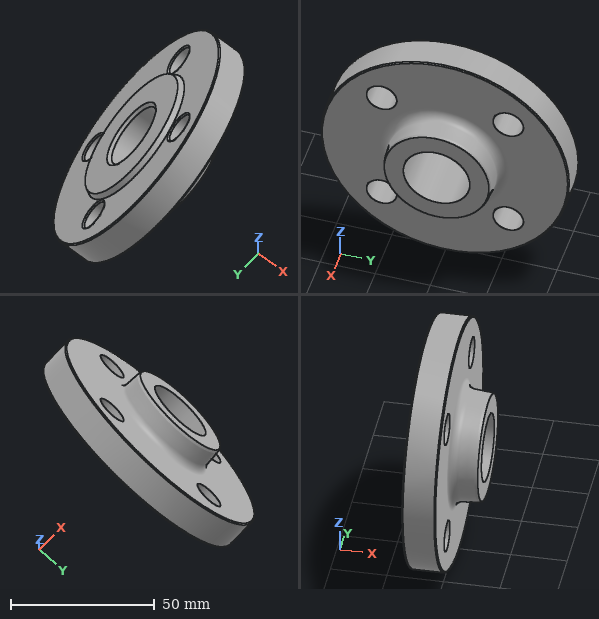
import cadquery as cq
import math

flange_diameter = 90
flange_thickness = 11.9
edge_chamfer = 0.45

face_height = 2.1
face_diameter = 50.0
face_base_diameter = 52.2

overall_length = 24.0
neck_base_diameter = 39.4
neck_shoulder_diameter = 38.7
neck_end_diameter = 38.0
neck_fillet_radius = 3.6
neck_bevel_length = 1.1

bore_diameter = 24.1
bore_chamfer = 1.2
bolt_hole_diameter = 11.0
bolt_hole_chamfer = 0.5
bolt_circle_diameter = 65.0
bolt_count = 4

flange_radius = flange_diameter / 2
flange_back = face_height + flange_thickness
bevel_start = overall_length - neck_bevel_length
neck_fillet_end = flange_back + neck_fillet_radius
neck_base_radius = neck_base_diameter / 2
fillet_outer_radius = neck_base_radius + neck_fillet_radius
arc_offset = neck_fillet_radius * (1 - math.sqrt(0.5))


def turned_body():
    """Revolve the half section, drawn as (axial position, radius)."""
    return (
        cq.Workplane("XY")
        .moveTo(0, 0)
        .lineTo(0, face_diameter / 2)
        .lineTo(face_height, face_base_diameter / 2)
        .lineTo(face_height, flange_radius - edge_chamfer)
        .lineTo(face_height + edge_chamfer, flange_radius)
        .lineTo(flange_back - edge_chamfer, flange_radius)
        .lineTo(flange_back, flange_radius - edge_chamfer)
        .lineTo(flange_back, fillet_outer_radius)
        .threePointArc(
            (flange_back + arc_offset, neck_base_radius + arc_offset),
            (neck_fillet_end, neck_base_radius),
        )
        .lineTo(bevel_start, neck_shoulder_diameter / 2)
        .lineTo(overall_length, neck_end_diameter / 2)
        .lineTo(overall_length, 0)
        .close()
        .revolve(360, (0, 0, 0), (1, 0, 0))
    )


def countersunk_hole(diameter, chamfer, start, end):
    """Cutter along X, widened by a 45 degree chamfer at its start."""
    radius = diameter / 2
    return (
        cq.Workplane("XY")
        .moveTo(start, 0)
        .lineTo(start, radius + chamfer)
        .lineTo(start + chamfer, radius)
        .lineTo(end, radius)
        .lineTo(end, 0)
        .close()
        .revolve(360, (0, 0, 0), (1, 0, 0))
    )


bore = countersunk_hole(bore_diameter, bore_chamfer, 0, overall_length)
bolt_hole = countersunk_hole(bolt_hole_diameter, bolt_hole_chamfer, face_height, flange_back)

result = turned_body().cut(bore)
for index in range(bolt_count):
    angle = math.radians(45 + index * 360 / bolt_count)
    hole_y = bolt_circle_diameter / 2 * math.cos(angle)
    hole_z = bolt_circle_diameter / 2 * math.sin(angle)
    result = result.cut(bolt_hole.translate((0, hole_y, hole_z)))